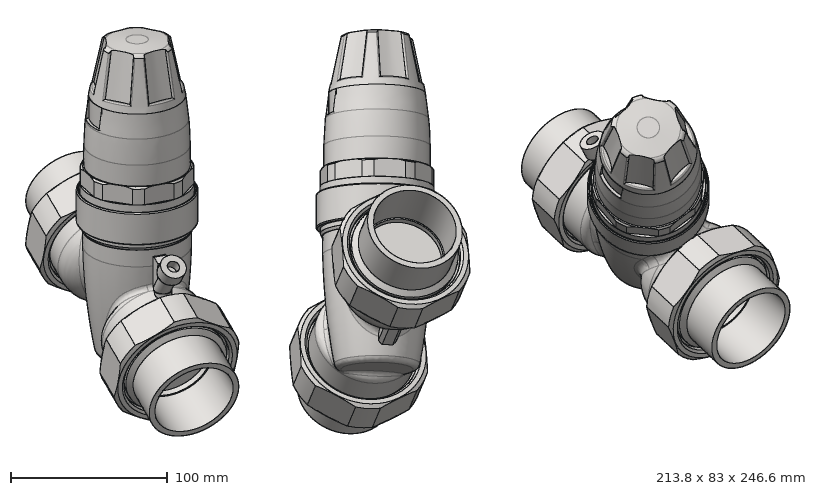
import cadquery as cq
import math

PIPE_TILT = 20.0

PIPE_MIDDLE = -8.02
HALF_RUN = 102.5
NUT_INNER = 48.3
NUT_WIDTH = 26.6
NUT_OUTER = NUT_INNER + NUT_WIDTH
SEAT = 64.6

NUT_FLATS = 83.0
NUT_CORNERS = 87.8
NUT_EDGE_CHAMFER = 1.0
NUT_RIM_DIAMETER = 82.5
NUT_RIM_WIDTH = 1.5
NUT_RECESS_DIAMETER = 72.8
NUT_RECESS_DEPTH = 5.0
NUT_MOUTH_DIAMETER = 76.0
PIPE_DIAMETER = 69.5

TAIL_DIAMETER = 62.0
TAIL_BORE = 54.0
TAIL_BORE_DEPTH = 33.8
TAIL_THROAT = 52.0
TAIL_FLARE_START = 27.0
TAIL_FLARE_END = 29.5

STEM_TOP_RADIUS = 34.8
STEM_MIDDLE_RADIUS = 32.3
STEM_BOTTOM_RADIUS = 26.6
STEM_TAPER_START = 39.7
STEM_BOTTOM = -34.8
STEM_BOTTOM_FILLET = 4.5
NECK_RING_DIAMETER = 72.5
NECK_RING_BOTTOM = 51.5
NECK_RING_BEVEL_HEIGHT = 2.0
NECK_RING_BEVEL_WIDTH = 1.0
COLLAR_DIAMETER = 77.7
COLLAR_BOTTOM = 56.5
COLLAR_TOP = 79.0
COLLAR_CHAMFER = 0.7
SOCKET_DIAMETER = 75.0
SOCKET_DEPTH = 3.7
HOOD_BOTTOM = COLLAR_TOP - SOCKET_DEPTH

LEFT_DOME_START = -47.9
LEFT_DOME_LENGTH = 28.0
RIGHT_DOME_START = 25.7
RIGHT_DOME_LENGTH = 9.9
LEFT_JUNCTION_FILLET = 6.2
RIGHT_JUNCTION_FILLET = 3.7
JUNCTION_MIN_X = 12.3

RIB_WIDTH = 11.8
RIB_BOTTOM = -32.5
RIB_CHAMFER = 2.5
RIB_START = -39.5
RIB_END = -9.9

BOSS_X = 56.7
BOSS_Z = 47.4
BOSS_TILT = 38.0
BOSS_HEAD_DIAMETER = 17.0
BOSS_HEAD_LENGTH = 9.4
BOSS_CONE_LENGTH = 3.0
BOSS_CONE_DIAMETER = 13.0
BOSS_NECK_DIAMETER = 11.0
BOSS_NECK_END = 29.5
BOSS_HOLE_DIAMETER = 8.0
BOSS_HOLE_DEPTH = 7.5
BOSS_FOOT_X = 40.7
BOSS_FOOT_TOP = 24.2
WEB_WIDTH = 8.5
WEB_INNER_X = 27.1
WEB_TOP = 46.4
WEB_CORNER_X = 36.0
WEB_SHOULDER_X = 41.7
WEB_SHOULDER_Z = 44.2

HOOD_FLANGE_DIAMETER = 73.0
HOOD_FLANGE_TOP = 83.5
HOOD_BAND_DIAMETER = 72.5
HOOD_BAND_TOP = 95.7
HOOD_BAND_CHAMFER = 1.2
HOOD_DIAMETER = 68.0
HOOD_STRAIGHT_TOP = 110.3
HOOD_SHOULDER_RADIUS = 33.0
HOOD_SHOULDER = 128.0
FLAT_COUNT = 8
FLAT_WIDTH = 21.0
FLAT_DISTANCE = 34.8
WINDOW_WIDTH = 20.7
WINDOW_BOTTOM = 129.3
WINDOW_FLOOR_RADIUS = 30.8

KNOB_BOTTOM = 144.5
KNOB_BOTTOM_RADIUS = 31.0
KNOB_SHOULDER_RADIUS = 24.5
KNOB_SHOULDER = 177.0
KNOB_BEND_RADIUS = 23.2
KNOB_BEND = 180.8
KNOB_RIM_RADIUS = 20.5
KNOB_RIM = 182.0
KNOB_TOP = 183.0
KNOB_TOP_RADIUS = 7.2
GRIP_COUNT = 6
GRIP_START_ANGLE = 9.0
GRIP_BOTTOM = 150.0
GRIP_BOTTOM_WIDTH = 17.8
GRIP_TOP_WIDTH = 15.8
GRIP_DEPTH = 3.7
GRIP_HOLLOW_RADIUS = 44.5
GRIP_EDGE_FILLET = 1.0


def tilt(shape):
    """Turn a shape built along X onto the sloping pipe axis."""
    return shape.rotate((0, 0, 0), (0, 1, 0), PIPE_TILT)


def place_on_run(shape, side):
    """Put a shape built with X = distance from the run middle on one side of the body."""
    if side < 0:
        shape = shape.rotate((0, 0, 0), (0, 0, 1), 180)
    return tilt(shape.translate((PIPE_MIDDLE, 0, 0)))


def disc(diameter, bottom, top):
    """Upright cylinder on the stem axis."""
    return cq.Workplane("XY").workplane(offset=bottom).circle(diameter / 2).extrude(top - bottom)


def rod(diameter, start, end):
    """Cylinder along X."""
    return cq.Workplane("YZ").workplane(offset=start).circle(diameter / 2).extrude(end - start)


def spin_about_x(points):
    """Solid of revolution from (distance along X, radius) points."""
    return cq.Workplane("XY").polyline(points).close().revolve(360, (0, 0, 0), (1, 0, 0))


def hexagon_bar(flats, turn):
    corner = flats / math.cos(math.pi / 6)
    bar = cq.Workplane("YZ").workplane(offset=NUT_INNER).polygon(6, corner).extrude(NUT_WIDTH)
    return bar.rotate((0, 0, 0), (1, 0, 0), turn)


def nut_recess(face, inward):
    """Recess with a bevelled mouth; `inward` points from the face into the nut."""
    mouth, recess = NUT_MOUTH_DIAMETER / 2, NUT_RECESS_DIAMETER / 2
    floor = face + inward * NUT_RECESS_DEPTH
    bevel_end = face + inward * (mouth - recess)
    return spin_about_x([(face, 0), (face, mouth), (bevel_end, recess), (floor, recess), (floor, 0)])


def make_nut(side):
    nut = hexagon_bar(NUT_FLATS, 30).intersect(hexagon_bar(NUT_CORNERS, 0))
    nut = nut.edges("|X").chamfer(NUT_EDGE_CHAMFER)
    rim, full = NUT_RIM_DIAMETER / 2, NUT_CORNERS / 2
    envelope = spin_about_x([
        (NUT_INNER, 0),
        (NUT_INNER, rim),
        (NUT_INNER + NUT_RIM_WIDTH, full),
        (NUT_OUTER - NUT_RIM_WIDTH, full),
        (NUT_OUTER, rim),
        (NUT_OUTER, 0),
    ])
    nut = nut.intersect(envelope)
    nut = nut.cut(rod(PIPE_DIAMETER, NUT_INNER, NUT_OUTER))
    nut = nut.cut(nut_recess(NUT_INNER, 1)).cut(nut_recess(NUT_OUTER, -1))
    return place_on_run(nut, side)


def make_tail(side):
    throat_start = HALF_RUN - TAIL_BORE_DEPTH
    tail = spin_about_x([
        (HALF_RUN, TAIL_BORE / 2),
        (HALF_RUN, TAIL_DIAMETER / 2),
        (HALF_RUN - TAIL_FLARE_START, TAIL_DIAMETER / 2),
        (HALF_RUN - TAIL_FLARE_END, PIPE_DIAMETER / 2),
        (SEAT, PIPE_DIAMETER / 2),
        (SEAT, TAIL_THROAT / 2),
        (throat_start, TAIL_THROAT / 2),
        (throat_start, TAIL_BORE / 2),
    ])
    return place_on_run(tail, side)


def stem():
    taper_middle = (STEM_TAPER_START + STEM_BOTTOM) / 2
    profile = (
        cq.Workplane("XZ")
        .moveTo(0, COLLAR_BOTTOM)
        .lineTo(STEM_TOP_RADIUS, COLLAR_BOTTOM)
        .lineTo(STEM_TOP_RADIUS, STEM_TAPER_START)
        .threePointArc((STEM_MIDDLE_RADIUS, taper_middle), (STEM_BOTTOM_RADIUS, STEM_BOTTOM))
        .lineTo(0, STEM_BOTTOM)
        .close()
    )
    solid = profile.revolve(360, (0, 0, 0), (0, 1, 0))
    return solid.faces("<Z").edges().fillet(STEM_BOTTOM_FILLET).rotate((0, 0, 0), (0, 0, 1), 90)


def socket(end, dome_start, dome_length):
    """Pipe socket from its open end to a dome that reaches back towards the stem."""
    radius = PIPE_DIAMETER / 2
    tip = dome_start + math.copysign(dome_length, dome_start - end)
    diagonal = math.sqrt(0.5)
    on_dome = (dome_start + (tip - dome_start) * diagonal, radius * diagonal)
    profile = (
        cq.Workplane("XY")
        .moveTo(end, 0)
        .lineTo(end, radius)
        .lineTo(dome_start, radius)
        .spline([on_dome, (tip, 0)], tangents=[(tip - dome_start, 0), (0, -1)], includeCurrent=True)
        .close()
    )
    return tilt(profile.revolve(360, (0, 0, 0), (1, 0, 0)))


def rib():
    height = -RIB_BOTTOM
    plate = cq.Workplane("XY").box(RIB_END - RIB_START, RIB_WIDTH, height)
    plate = plate.faces("<Z").edges("|X").chamfer(RIB_CHAMFER)
    return tilt(plate.translate(((RIB_START + RIB_END) / 2, 0, RIB_BOTTOM / 2)))


def boss_axis_shape(shape):
    """Move a shape built along Z, with the boss mouth at Z = 0, to its place."""
    return shape.rotate((0, 0, 0), (0, 1, 0), BOSS_TILT).translate((BOSS_X, 0, BOSS_Z))


def boss():
    head, cone, neck = BOSS_HEAD_DIAMETER / 2, BOSS_CONE_DIAMETER / 2, BOSS_NECK_DIAMETER / 2
    cone_end = BOSS_HEAD_LENGTH + BOSS_CONE_LENGTH
    outline = [
        (0, 0),
        (head, 0),
        (head, -BOSS_HEAD_LENGTH),
        (cone, -cone_end),
        (neck, -cone_end),
        (neck, -BOSS_NECK_END),
        (0, -BOSS_NECK_END),
    ]
    turned = cq.Workplane("XZ").polyline(outline).close().revolve(360, (0, 0, 0), (0, 1, 0))
    foot = disc(BOSS_NECK_DIAMETER, 0, BOSS_FOOT_TOP).translate((BOSS_FOOT_X, 0, 0))
    web_outline = [
        (WEB_INNER_X, BOSS_FOOT_TOP),
        (WEB_INNER_X, WEB_TOP),
        (WEB_CORNER_X, WEB_TOP),
        (WEB_SHOULDER_X, WEB_SHOULDER_Z),
        (BOSS_FOOT_X, BOSS_FOOT_TOP),
    ]
    web = cq.Workplane("XZ").polyline(web_outline).close().extrude(WEB_WIDTH / 2, both=True)
    return boss_axis_shape(turned).union(foot).union(web)


def boss_hole():
    return boss_axis_shape(disc(BOSS_HOLE_DIAMETER, -BOSS_HOLE_DEPTH, 0))


def blend_junction(body, side, radius):
    """Fillet the curved edges where a socket meets the stem on one side of the stem axis."""
    edges = [
        edge
        for edge in body.edges("%BSPLINE").vals()
        if edge.Center().x * side > JUNCTION_MIN_X
    ]
    return body.newObject(edges).fillet(radius)


def collar():
    ring = disc(COLLAR_DIAMETER, COLLAR_BOTTOM, COLLAR_TOP).edges().chamfer(COLLAR_CHAMFER)
    neck_ring = disc(NECK_RING_DIAMETER, NECK_RING_BOTTOM, COLLAR_BOTTOM)
    neck_ring = neck_ring.faces("<Z").edges().chamfer(NECK_RING_BEVEL_HEIGHT, NECK_RING_BEVEL_WIDTH)
    return ring.union(neck_ring)


def make_body():
    body = stem().union(socket(PIPE_MIDDLE - SEAT, LEFT_DOME_START, LEFT_DOME_LENGTH))
    body = blend_junction(body, -1, LEFT_JUNCTION_FILLET)
    body = body.union(socket(PIPE_MIDDLE + SEAT, RIGHT_DOME_START, RIGHT_DOME_LENGTH))
    body = blend_junction(body, 1, RIGHT_JUNCTION_FILLET)
    body = body.union(collar()).union(rib()).union(boss())
    body = body.cut(disc(SOCKET_DIAMETER, HOOD_BOTTOM, COLLAR_TOP))
    return body.cut(boss_hole())


def spanner_flats():
    """Cutters for the flats around the band, parallel to the axis."""
    outside = COLLAR_DIAMETER / 2
    depth = outside - FLAT_DISTANCE
    height = HOOD_BAND_TOP - HOOD_FLANGE_TOP
    flat = cq.Workplane("XY").box(depth, FLAT_WIDTH, height)
    flat = flat.translate((FLAT_DISTANCE + depth / 2, 0, HOOD_FLANGE_TOP + height / 2))
    return [
        flat.rotate((0, 0, 0), (0, 0, 1), number * 360 / FLAT_COUNT)
        for number in range(FLAT_COUNT)
    ]


def windows():
    """Cutter for two round-floored windows, at -Y and +Y, that reach up to the knob."""
    height = KNOB_BOTTOM - WINDOW_BOTTOM
    bar = cq.Workplane("XY").box(WINDOW_WIDTH, HOOD_DIAMETER, height)
    bar = bar.translate((0, 0, WINDOW_BOTTOM + height / 2))
    return bar.cut(disc(2 * WINDOW_FLOOR_RADIUS, WINDOW_BOTTOM, KNOB_BOTTOM))


def make_hood():
    flange, band, straight = HOOD_FLANGE_DIAMETER / 2, HOOD_BAND_DIAMETER / 2, HOOD_DIAMETER / 2
    profile = (
        cq.Workplane("XZ")
        .moveTo(0, HOOD_BOTTOM)
        .lineTo(flange, HOOD_BOTTOM)
        .lineTo(flange, HOOD_FLANGE_TOP)
        .lineTo(band, HOOD_FLANGE_TOP)
        .lineTo(band, HOOD_BAND_TOP - HOOD_BAND_CHAMFER)
        .lineTo(band - HOOD_BAND_CHAMFER, HOOD_BAND_TOP)
        .lineTo(straight, HOOD_BAND_TOP)
        .lineTo(straight, HOOD_STRAIGHT_TOP)
        .tangentArcPoint((HOOD_SHOULDER_RADIUS, HOOD_SHOULDER), relative=False)
        .lineTo(KNOB_BOTTOM_RADIUS, KNOB_BOTTOM)
        .lineTo(0, KNOB_BOTTOM)
        .close()
    )
    hood = profile.revolve(360, (0, 0, 0), (0, 1, 0))
    for flat in spanner_flats():
        hood = hood.cut(flat)
    return hood.cut(windows())


def knob_cone():
    """Plain cone of the knob wall, carried up to the top."""
    wall_slope = (KNOB_BOTTOM_RADIUS - KNOB_SHOULDER_RADIUS) / (KNOB_SHOULDER - KNOB_BOTTOM)
    top_radius = KNOB_BOTTOM_RADIUS - wall_slope * (KNOB_TOP - KNOB_BOTTOM)
    outline = [(0, KNOB_BOTTOM), (KNOB_BOTTOM_RADIUS, KNOB_BOTTOM), (top_radius, KNOB_TOP), (0, KNOB_TOP)]
    cone = cq.Workplane("XZ").polyline(outline).close().revolve(360, (0, 0, 0), (0, 1, 0))
    return cone.rotate((0, 0, 0), (0, 0, 1), GRIP_START_ANGLE + 180 / GRIP_COUNT)


def knob_crown():
    """Envelope that rounds the top of the knob."""
    profile = (
        cq.Workplane("XZ")
        .moveTo(0, KNOB_BOTTOM)
        .lineTo(KNOB_BOTTOM_RADIUS, KNOB_BOTTOM)
        .lineTo(KNOB_BOTTOM_RADIUS, KNOB_SHOULDER)
        .lineTo(KNOB_SHOULDER_RADIUS, KNOB_SHOULDER)
        .threePointArc((KNOB_BEND_RADIUS, KNOB_BEND), (KNOB_RIM_RADIUS, KNOB_RIM))
        .lineTo(KNOB_TOP_RADIUS, KNOB_TOP)
        .lineTo(0, KNOB_TOP)
        .close()
    )
    return profile.revolve(360, (0, 0, 0), (0, 1, 0))


def grip_hollow():
    """Cutter for one grip on the +X side: a hollow that leans with the knob wall."""
    start = GRIP_BOTTOM - KNOB_BOTTOM
    end = KNOB_TOP - KNOB_BOTTOM + GRIP_DEPTH
    outline = [
        (-GRIP_BOTTOM_WIDTH / 2, start),
        (GRIP_BOTTOM_WIDTH / 2, start),
        (GRIP_TOP_WIDTH / 2, end),
        (-GRIP_TOP_WIDTH / 2, end),
    ]
    block = cq.Workplane("YZ").polyline(outline).close().extrude(GRIP_HOLLOW_RADIUS)
    hollow = block.intersect(disc(2 * GRIP_HOLLOW_RADIUS, start, end).translate((GRIP_HOLLOW_RADIUS, 0, 0)))
    lean = math.degrees(math.atan2(KNOB_BOTTOM_RADIUS - KNOB_SHOULDER_RADIUS, KNOB_SHOULDER - KNOB_BOTTOM))
    hollow = hollow.rotate((0, 0, 0), (0, 1, 0), -lean)
    return hollow.translate((KNOB_BOTTOM_RADIUS - GRIP_DEPTH, 0, KNOB_BOTTOM))


def make_knob():
    knob = knob_cone()
    hollow = grip_hollow()
    for number in range(GRIP_COUNT):
        angle = GRIP_START_ANGLE + number * 360 / GRIP_COUNT
        knob = knob.cut(hollow.rotate((0, 0, 0), (0, 0, 1), angle))
    foot_edges = cq.selectors.BoxSelector(
        (-KNOB_BOTTOM_RADIUS, -KNOB_BOTTOM_RADIUS, KNOB_BOTTOM),
        (KNOB_BOTTOM_RADIUS, KNOB_BOTTOM_RADIUS, GRIP_BOTTOM + GRIP_DEPTH),
    )
    rims = knob.edges("%HYPERBOLA").add(knob.edges(foot_edges).edges("%ELLIPSE"))
    return rims.fillet(GRIP_EDGE_FILLET).intersect(knob_crown())


body = make_body()
hood = make_hood()
knob = make_knob()
nuts = [make_nut(side) for side in (-1, 1)]
tails = [make_tail(side) for side in (-1, 1)]

result = cq.Compound.makeCompound([
    body.val(),
    hood.val(),
    knob.val(),
    *[nut.val() for nut in nuts],
    *[tail.val() for tail in tails],
])